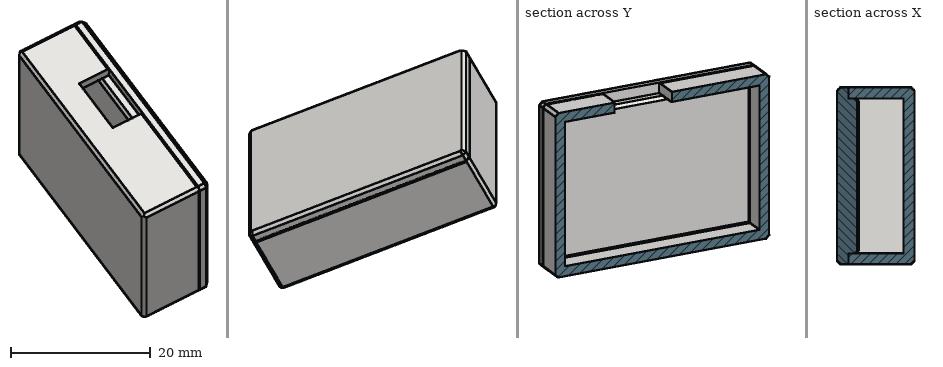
import cadquery as cq

length = 34.35
depth = 11.1
height = 25.35

wall = 1.6
lid_thickness = 1.58
box_depth = depth - lid_thickness
edge_chamfer = 0.5
seam_chamfer = 0.2

plug_depth = 1.58
plug_chamfer = 0.48

window_width = 9.15
window_left_margin = 9.55
window_depth = 4.98

cavity_length = length - 2 * wall
cavity_height = height - 2 * wall

front_y = -depth / 2
seam_y = front_y + box_depth
top_z = height / 2


def block(size_x, size_z, start_y, size_y):
    """Block centred on X and Z that runs in +Y from start_y."""
    return cq.Workplane("XY").box(size_x, size_y, size_z).translate((0, start_y + size_y / 2, 0))


def make_cavity():
    return block(cavity_length, cavity_height, front_y + wall, box_depth - wall)


def make_window():
    window_x = -length / 2 + window_left_margin
    return cq.Workplane("XY").box(window_width, window_depth, wall, centered=False).translate(
        (window_x, seam_y - window_depth, top_z - wall)
    )


def chamfer_along(body, axis):
    """Chamfer the front and seam edges of body that run parallel to axis."""
    body = body.edges(f"|{axis} and <Y").chamfer(edge_chamfer)
    return body.edges(f"|{axis} and >Y").chamfer(seam_chamfer)


def make_shell():
    """Outer block of the box; overlapping chamfered blocks give mitred corners and a V groove at the seam."""
    plain_block = block(length, height, front_y, box_depth)
    shell = plain_block.edges("|Y").chamfer(edge_chamfer)
    for axis in ("X", "Z"):
        shell = shell.intersect(chamfer_along(plain_block, axis))
    return shell


def make_box():
    return make_shell().cut(make_cavity()).cut(make_window())


def make_lid():
    """Cover plate with a plug that fits the cavity."""
    plate = block(length, height, seam_y, lid_thickness)
    plate = plate.edges("|Y").chamfer(edge_chamfer)
    plate = plate.faces(">Y").chamfer(edge_chamfer)
    plug = block(cavity_length, cavity_height, seam_y - plug_depth, plug_depth)
    plug = plug.faces("<Y").chamfer(plug_chamfer)
    return plate.union(plug)


box = make_box()
lid = make_lid()

result = cq.Compound.makeCompound([box.val(), lid.val()])